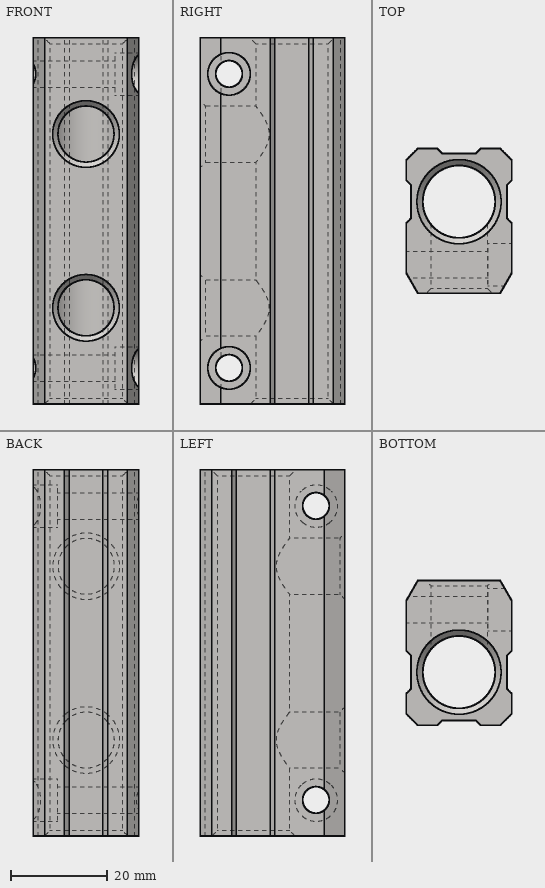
import cadquery as cq

width = 22.0
depth = 30.0
height = 76.0
half_width = width / 2

rear_chamfer = 2.4
front_chamfer_x = 2.4
front_chamfer_y = 4.25

bore_y = depth - 11.0
bore_diameter = 15.0
bore_mouth_diameter = 17.5

groove_depth = 1.0
rear_groove_half_width = 4.5
side_groove_half_width = 4.5

front_hole_offset = 20.0
front_hole_diameter = 11.6
front_hole_mouth_diameter = 13.8

bolt_y = 6.0
bolt_end_offset = 7.5
bolt_diameter = 5.5
counterbore_diameter = 8.8
counterbore_depth = 5.0


def make_body():
    """Extrude the chamfered and grooved cross-section."""
    side_floor_x = half_width - groove_depth
    side_floor_half = side_groove_half_width - groove_depth
    right_half = [
        (half_width - front_chamfer_x, 0),
        (half_width, front_chamfer_y),
        (half_width, bore_y - side_groove_half_width),
        (side_floor_x, bore_y - side_floor_half),
        (side_floor_x, bore_y + side_floor_half),
        (half_width, bore_y + side_groove_half_width),
        (half_width, depth - rear_chamfer),
        (half_width - rear_chamfer, depth),
        (rear_groove_half_width, depth),
        (rear_groove_half_width - groove_depth, depth - groove_depth),
    ]
    left_half = [(-x, y) for x, y in reversed(right_half)]
    return cq.Workplane("XY").polyline(right_half + left_half).close().extrude(height)


def cylinder(diameter, length, start, direction):
    return cq.Solid.makeCylinder(diameter / 2, length, cq.Vector(*start), cq.Vector(*direction))


def countersink(mouth_diameter, hole_diameter, start, direction):
    """45 degree cone narrowing from the mouth to the hole."""
    mouth_radius = mouth_diameter / 2
    hole_radius = hole_diameter / 2
    return cq.Solid.makeCone(
        mouth_radius, hole_radius, mouth_radius - hole_radius, cq.Vector(*start), cq.Vector(*direction)
    )


result = make_body()

result = result.cut(cylinder(bore_diameter, height, (0, bore_y, 0), (0, 0, 1)))
for end_z, inward in ((0, 1), (height, -1)):
    result = result.cut(
        countersink(bore_mouth_diameter, bore_diameter, (0, bore_y, end_z), (0, 0, inward))
    )

for z in (front_hole_offset, height - front_hole_offset):
    result = result.cut(cylinder(front_hole_diameter, bore_y, (0, 0, z), (0, 1, 0)))
    result = result.cut(
        countersink(front_hole_mouth_diameter, front_hole_diameter, (0, 0, z), (0, 1, 0))
    )

for z in (bolt_end_offset, height - bolt_end_offset):
    result = result.cut(cylinder(bolt_diameter, width, (-half_width, bolt_y, z), (1, 0, 0)))
    result = result.cut(
        cylinder(counterbore_diameter, counterbore_depth, (half_width, bolt_y, z), (-1, 0, 0))
    )